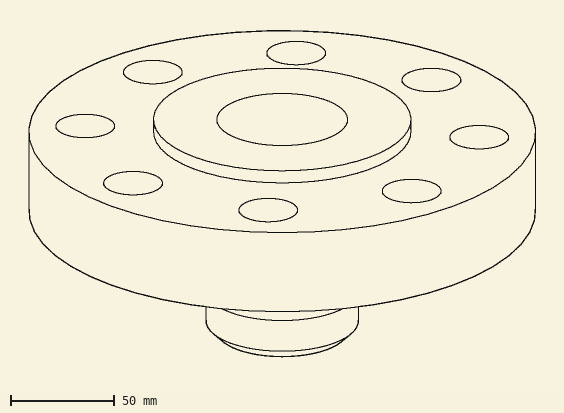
import cadquery as cq

flange_diameter = 244.4
flange_thickness = 41.5
face_diameter = 124.1
face_height = 6.4

overall_height = 111.0
hub_top_diameter = 124.1
neck_diameter = 73.5
neck_height = 21.3
bevel_height = 5.1
bevel_width = 5.1

bore_diameter = 63.0
bolt_count = 8
bolt_circle_diameter = 190.3
bolt_hole_diameter = 28.3

flange_top = overall_height - face_height
flange_bottom = flange_top - flange_thickness


def make_body():
    """Revolve the half section, bore included, about the Z axis."""
    bore_radius = bore_diameter / 2
    neck_radius = neck_diameter / 2
    section = [
        (bore_radius, 0),
        (neck_radius - bevel_width, 0),
        (neck_radius, bevel_height),
        (neck_radius, neck_height),
        (hub_top_diameter / 2, flange_bottom),
        (flange_diameter / 2, flange_bottom),
        (flange_diameter / 2, flange_top),
        (face_diameter / 2, flange_top),
        (face_diameter / 2, overall_height),
        (bore_radius, overall_height),
    ]
    return cq.Workplane("XZ").polyline(section).close().revolve(360, (0, 0), (0, 1))


def make_bolt_holes():
    """Cylinders through the disc, straddling the X and Y axes."""
    half_pitch_angle = 180 / bolt_count
    return (
        cq.Workplane("XY", origin=(0, 0, flange_bottom))
        .polarArray(bolt_circle_diameter / 2, half_pitch_angle, 360, bolt_count)
        .circle(bolt_hole_diameter / 2)
        .extrude(flange_thickness)
    )


result = make_body().cut(make_bolt_holes())